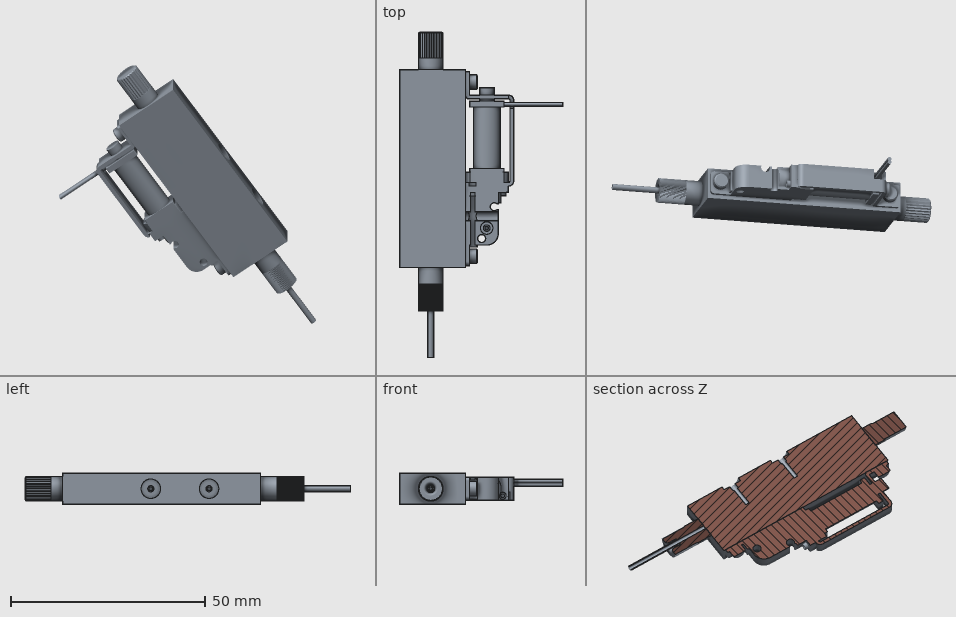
import cadquery as cq
import math

BLOCK_X, BLOCK_Y, BLOCK_Z = 17.0, 51.0, 8.0
MID_Z = BLOCK_Z / 2
LINE_X = 8.0
PORT_YS = (13.3, 28.3)
PORT_SEAT_DIA, PORT_SEAT_DEPTH = 5.0, 1.0
PORT_BORE_DIA = 1.6
PORT_STEP_DIA, PORT_STEP_X = 1.0, 2.5

FITTING_DIA = 6.35
KNOB_SHANK, KNOB_HEAD = 3.0, 6.7
KNOB_TEETH, KNOB_TOOTH_DEPTH = 26, 0.25
KNOB_CHAMFER = 0.35
NUT_SHANK, NUT_HEAD = 4.2, 6.9
NUT_TEETH, NUT_TOOTH_DEPTH = 60, 0.2
NUT_MOUTH_DIA, NUT_RECESS_DIA, NUT_RECESS_DEPTH = 3.8, 2.0, 3.0
TUBE_DIA, TUBE_BORE_DIA = 1.57, 0.9
TOTAL_Y = 83.82
TUBE_END_Y = BLOCK_Y + KNOB_SHANK + KNOB_HEAD - TOTAL_Y

VALVE_Z0, VALVE_Z1 = 1.0, 7.0
COIL_X = 22.45

SHEET = 1.0
BRACKET_X = 29.4
BRACKET_Y0, BRACKET_Y1 = 21.0, 44.45
BEND_RADIUS, TAB_BEND_RADIUS = 1.4, 0.8
TAB_CORNER_RADIUS, FOOT_CORNER_RADIUS = 0.5, 1.0
TAB_END_Y = 50.5
CORNER_RELIEF_X, CORNER_RELIEF_Z = 28.0, 3.1
LEAD_CUTOUT_X, LEAD_CUTOUT_Y, LEAD_CUTOUT_Z = 28.0, 41.0, 4.4
LEG_NOTCH_X, LEG_NOTCH_DIA = 18.75, 1.7

SCREW_YS = (2.95, 47.8)
SCREW_HEAD_DIA, SCREW_HEAD_HEIGHT, SCREW_CHAMFER = 3.8, 2.05, 0.3

FLANGE_X0, FLANGE_X1 = 18.0, 26.9
FLANGE_EDGE_RADIUS = 0.25
REAR_FLANGE_Y0, REAR_FLANGE_Y1 = 41.35, 42.9
FRONT_FLANGE_Y0, FRONT_FLANGE_Y1 = 24.6, 25.6
COIL_WIDTH, COIL_HEIGHT = 6.9, 5.8
CORE_DIA, CORE_END_Y = 3.8, 46.35
LEAD_DIA, LEAD_PITCH, LEADS_Z = 1.0, 0.9, 5.5
LEAD_Y, LEAD_END_X = 42.04, 42.0

BODY_Y0, BODY_SHOULDER_Y = 5.8, 19.4
BODY_X1, SHOULDER_X1 = 25.4, 28.0
BODY_CORNER_RADIUS = 3.0
FOOT_END_Y = 0.5
COLLAR_CHAMFER = 1.1
NECK_DIA, NECK_Y = 7.4, 16.7
PIN_X, PIN_Z, PIN_DIA, PIN_Y = 26.5, 2.2, 1.8, 18.5
PIN_BORE_DIA = 1.0
EDGE_NOTCH_X, EDGE_NOTCH_Y, EDGE_NOTCH_MOUTH = 24.35, 15.7, 1.5
HOLE_X, HOLE_Y = 21.1, 7.5
LOCATING_DIA = 2.0
TUBE_GROOVE_Y, TUBE_GROOVE_Z, TUBE_GROOVE_DIA = 13.25, 6.6, 2.4
PLUNGER_X, PLUNGER_Z, PLUNGER_DIA, PLUNGER_END_Y = 18.8, 6.05, 2.2, 18.5
SLOT_WIDTH, SLOT_FLOOR_Z = 1.1, 6.2
SET_SCREW_X, SET_SCREW_Y = 22.4, 10.2
SET_SCREW_STEPS = ((3.2, 0.2), (1.7, 1.0), (0.9, 2.0))
RIM_X1, RIM_Y0, RIM_INSET = 20.05, 5.3, 0.4


def box(x0, x1, y0, y1, z0, z1):
    return cq.Workplane("XY").box(x1 - x0, y1 - y0, z1 - z0, centered=False).translate((x0, y0, z0))


def rod_x(dia, x0, x1, y, z):
    return cq.Workplane("YZ", origin=(x0, y, z)).circle(dia / 2).extrude(x1 - x0)


def rod_y(dia, x, z, y0, y1):
    return cq.Workplane("XZ", origin=(x, y0, z)).circle(dia / 2).extrude(y0 - y1)


def rod_z(dia, x, y, z0, z1):
    return cq.Workplane("XY", origin=(x, y, z0)).circle(dia / 2).extrude(z1 - z0)


def knurled_rod(dia, teeth, tooth_depth, y0, y1):
    """Rod along Y on the fitting axis with straight V teeth around it."""
    points = []
    for i in range(2 * teeth):
        radius = dia / 2 - tooth_depth * ((i + 1) % 2)
        angle = math.pi * i / teeth
        points.append((radius * math.cos(angle), radius * math.sin(angle)))
    return cq.Workplane("XZ", origin=(LINE_X, y0, MID_Z)).polyline(points).close().extrude(y0 - y1)


def make_block():
    block = box(0, BLOCK_X, 0, BLOCK_Y, 0, BLOCK_Z)
    for y in PORT_YS:
        block = block.cut(rod_x(PORT_SEAT_DIA, 0, PORT_SEAT_DEPTH, y, MID_Z))
        block = block.cut(rod_x(PORT_BORE_DIA, 0, PORT_STEP_X, y, MID_Z))
        block = block.cut(rod_x(PORT_STEP_DIA, 0, LINE_X, y, MID_Z))
    return block


def make_knob():
    head_y = BLOCK_Y + KNOB_SHANK
    end_y = head_y + KNOB_HEAD
    envelope = rod_y(FITTING_DIA, LINE_X, MID_Z, head_y, end_y).faces(">Y").chamfer(KNOB_CHAMFER)
    head = knurled_rod(FITTING_DIA, KNOB_TEETH, KNOB_TOOTH_DEPTH, head_y, end_y).intersect(envelope)
    return rod_y(FITTING_DIA, LINE_X, MID_Z, BLOCK_Y, head_y).union(head)


def make_tube_fitting():
    nut_end_y = -NUT_SHANK - NUT_HEAD
    recess_floor_y = nut_end_y + NUT_RECESS_DEPTH
    fitting = rod_y(FITTING_DIA, LINE_X, MID_Z, -NUT_SHANK, 0)
    fitting = fitting.union(
        knurled_rod(FITTING_DIA, NUT_TEETH, NUT_TOOTH_DEPTH, nut_end_y, -NUT_SHANK))
    fitting = fitting.cut(rod_y(NUT_RECESS_DIA, LINE_X, MID_Z, nut_end_y, recess_floor_y))
    recess_rim = cq.selectors.RadiusNthSelector(0)
    mouth_radius = (NUT_MOUTH_DIA - NUT_RECESS_DIA) / 2
    fitting = fitting.faces("<Y").edges("%CIRCLE").edges(recess_rim).fillet(mouth_radius)
    fitting = fitting.union(rod_y(TUBE_DIA, LINE_X, MID_Z, TUBE_END_Y, recess_floor_y))
    return fitting.cut(rod_y(TUBE_BORE_DIA, LINE_X, MID_Z, TUBE_END_Y, 0))


def make_bracket():
    """Mounting tab, two legs and the long strip of the bent sheet bracket."""
    frame = box(BLOCK_X, BRACKET_X, BRACKET_Y0, BRACKET_Y1, VALVE_Z0, VALVE_Z1)
    frame = frame.edges("|Z and >X").fillet(BEND_RADIUS)
    window = box(BLOCK_X, BRACKET_X - SHEET, BRACKET_Y0 + SHEET, BRACKET_Y1 - SHEET, VALVE_Z0, VALVE_Z1)
    window = window.edges("|Z and >X").fillet(BEND_RADIUS - SHEET)
    tab = box(BLOCK_X, BLOCK_X + SHEET, BRACKET_Y1 - SHEET, TAB_END_Y, VALVE_Z0, VALVE_Z1)
    tab = tab.edges("|X and >Y").fillet(TAB_CORNER_RADIUS)
    rear_leg_bend = cq.selectors.NearestToPointSelector((BLOCK_X, BRACKET_Y1 - SHEET, MID_Z))
    bracket = frame.cut(window).union(tab).edges("|Z").edges(rear_leg_bend).fillet(TAB_BEND_RADIUS)
    bracket = bracket.cut(
        box(LEAD_CUTOUT_X, BRACKET_X, LEAD_CUTOUT_Y, BRACKET_Y1, LEAD_CUTOUT_Z, VALVE_Z1))
    bracket = bracket.cut(rod_y(LEG_NOTCH_DIA, LEG_NOTCH_X, VALVE_Z1, BRACKET_Y0, BRACKET_Y0 + SHEET))
    return bracket.cut(
        box(CORNER_RELIEF_X, BRACKET_X - SHEET, BRACKET_Y0, BRACKET_Y0 + SHEET, VALVE_Z0, CORNER_RELIEF_Z))


def make_coil():
    coil = (cq.Workplane("XZ", origin=(COIL_X, FRONT_FLANGE_Y0, MID_Z))
            .ellipse(COIL_WIDTH / 2, COIL_HEIGHT / 2).extrude(FRONT_FLANGE_Y0 - REAR_FLANGE_Y1))
    for y0, y1 in ((FRONT_FLANGE_Y0, FRONT_FLANGE_Y1), (REAR_FLANGE_Y0, REAR_FLANGE_Y1)):
        flange = box(FLANGE_X0, FLANGE_X1, y0, y1, VALVE_Z0, VALVE_Z1)
        coil = coil.union(flange.edges("|Y").fillet(FLANGE_EDGE_RADIUS))
    coil = coil.union(rod_y(CORE_DIA, COIL_X, MID_Z, REAR_FLANGE_Y0, CORE_END_Y))
    for side in (-1, 1):
        lead_z = LEADS_Z + side * LEAD_PITCH / 2
        coil = coil.union(rod_x(LEAD_DIA, COIL_X, LEAD_END_X, LEAD_Y, lead_z))
    return coil


def make_collar():
    """Collar between the front bracket leg and the coil."""
    collar = box(BLOCK_X, SHOULDER_X1, BRACKET_Y0 + SHEET, FRONT_FLANGE_Y0, VALVE_Z0, VALVE_Z1)
    return collar.edges("|Y").chamfer(COLLAR_CHAMFER)


def make_valve_body():
    body = box(BLOCK_X, BODY_X1, BODY_Y0, BRACKET_Y0, VALVE_Z0, VALVE_Z1)
    body = body.edges("|Z and >X and <Y").fillet(BODY_CORNER_RADIUS)
    body = body.union(box(BLOCK_X, SHOULDER_X1, BODY_SHOULDER_Y, BRACKET_Y0, VALVE_Z0, VALVE_Z1))

    neck = rod_y(NECK_DIA, COIL_X, MID_Z, NECK_Y, BODY_SHOULDER_Y)
    body = body.union(neck.intersect(box(COIL_X, SHOULDER_X1, NECK_Y, BODY_SHOULDER_Y, VALVE_Z0, VALVE_Z1)))
    body = body.union(rod_y(PIN_DIA, PIN_X, PIN_Z, PIN_Y, BODY_SHOULDER_Y))
    body = body.cut(rod_y(PIN_BORE_DIA, PIN_X, PIN_Z, PIN_Y, BODY_SHOULDER_Y))

    foot = box(BLOCK_X, BLOCK_X + SHEET, FOOT_END_Y, BODY_Y0, VALVE_Z0, VALVE_Z1)
    body = body.union(foot.edges("|X and <Y").fillet(FOOT_CORNER_RADIUS))
    body = body.union(
        box(BLOCK_X, RIM_X1, RIM_Y0, BODY_Y0, VALVE_Z0 + RIM_INSET, VALVE_Z1 - RIM_INSET))

    for x, y in ((HOLE_X, HOLE_Y), (EDGE_NOTCH_X, EDGE_NOTCH_Y)):
        body = body.cut(rod_z(LOCATING_DIA, x, y, VALVE_Z0, VALVE_Z1))
    body = body.cut(box(EDGE_NOTCH_X, BODY_X1, EDGE_NOTCH_Y - EDGE_NOTCH_MOUTH / 2,
                        EDGE_NOTCH_Y + EDGE_NOTCH_MOUTH / 2, VALVE_Z0, VALVE_Z1))

    body = body.cut(rod_x(TUBE_GROOVE_DIA, BLOCK_X, BODY_X1, TUBE_GROOVE_Y, TUBE_GROOVE_Z))
    body = body.cut(rod_y(PLUNGER_DIA, PLUNGER_X, PLUNGER_Z, RIM_Y0, PLUNGER_END_Y))
    body = body.cut(box(PLUNGER_X - SLOT_WIDTH / 2, PLUNGER_X + SLOT_WIDTH / 2,
                        RIM_Y0, BODY_SHOULDER_Y, SLOT_FLOOR_Z, VALVE_Z1))

    for dia, depth in SET_SCREW_STEPS:
        body = body.cut(rod_z(dia, SET_SCREW_X, SET_SCREW_Y, VALVE_Z1 - depth, VALVE_Z1))
    return body


def make_screw_head(y):
    head = rod_x(SCREW_HEAD_DIA, BLOCK_X + SHEET, BLOCK_X + SHEET + SCREW_HEAD_HEIGHT, y, MID_Z)
    return head.faces(">X").chamfer(SCREW_CHAMFER)


def make_valve():
    """One solid; flush faces keep their seams where the valve's sections meet."""
    valve = make_bracket()
    sections = [make_coil(), make_collar(), make_valve_body()]
    sections += [make_screw_head(y) for y in SCREW_YS]
    for section in sections:
        valve = valve.union(section, clean=False)
    return valve


block = make_block()
knob = make_knob()
tube_fitting = make_tube_fitting()
valve = make_valve()

result = cq.Compound.makeCompound([block.val(), knob.val(), tube_fitting.val(), valve.val()])